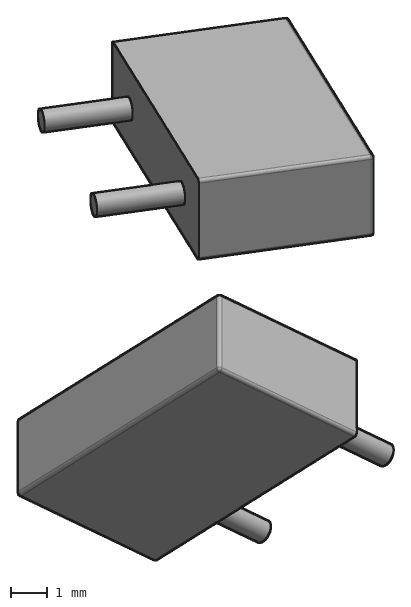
import cadquery as cq

body_width = 8.4
body_depth = 5.0
body_height = 2.5
edge_radius = 0.1

pin_length = 2.5
pin_diameter = 0.66
pin_spacing = 5.08


def make_body():
    """Block with every edge rounded except those around the front face."""
    block = cq.Workplane("XY").box(
        body_width, body_depth, body_height, centered=(True, False, True)
    )
    return block.edges("|Y or >Y").fillet(edge_radius)


def make_pins():
    """Leads running from the front face toward -Y."""
    return (
        cq.Workplane("XZ")
        .pushPoints([(-pin_spacing / 2, 0), (pin_spacing / 2, 0)])
        .circle(pin_diameter / 2)
        .extrude(pin_length)
    )


result = make_body().union(make_pins())